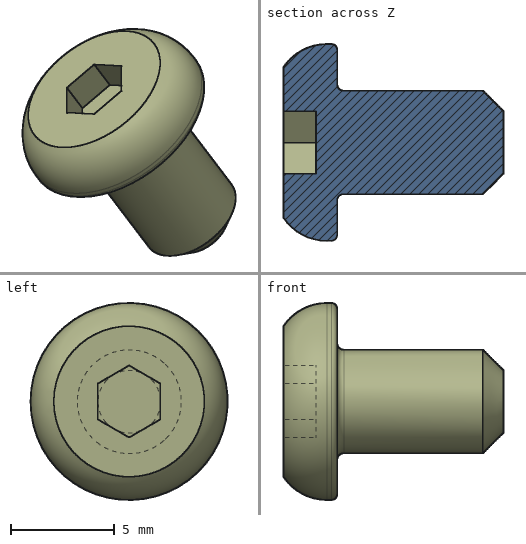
import cadquery as cq
import math

total_length = 10.6
head_diameter = 9.5
head_height = 2.6
face_diameter = 7.25
band_start = 2.1
rim_radius = 0.3
shank_diameter = 5.0
neck_radius = 0.3
tip_chamfer = 1.0
hex_across_flats = 3.0
hex_depth = 1.56

head_radius = head_diameter / 2
face_radius = face_diameter / 2
shank_radius = shank_diameter / 2


def dome_midpoint():
    """Middle of the dome arc, which runs tangent into the cylindrical band."""
    rise = head_radius - face_radius
    dome_radius = (band_start**2 + rise**2) / (2 * rise)
    half_angle = math.asin(band_start / dome_radius) / 2
    x = band_start - dome_radius * math.sin(half_angle)
    r = head_radius - dome_radius * (1 - math.cos(half_angle))
    return x, r


def make_body():
    """Head and shank, revolved from one half profile."""
    diagonal = math.sqrt(0.5)
    rim_x = head_height - rim_radius
    rim_r = head_radius - rim_radius
    neck_x = head_height + neck_radius
    neck_r = shank_radius + neck_radius
    return (
        cq.Workplane("XY")
        .lineTo(0, face_radius)
        .threePointArc(dome_midpoint(), (band_start, head_radius))
        .lineTo(rim_x, head_radius)
        .threePointArc(
            (rim_x + rim_radius * diagonal, rim_r + rim_radius * diagonal),
            (head_height, rim_r),
        )
        .lineTo(head_height, neck_r)
        .threePointArc(
            (neck_x - neck_radius * diagonal, neck_r - neck_radius * diagonal),
            (neck_x, shank_radius),
        )
        .lineTo(total_length - tip_chamfer, shank_radius)
        .lineTo(total_length, shank_radius - tip_chamfer)
        .lineTo(total_length, 0)
        .close()
        .revolve(360, (0, 0, 0), (1, 0, 0))
    )


def make_hex_socket():
    """Hexagonal driver socket with corners pointing along Z."""
    across_corners = hex_across_flats / math.cos(math.pi / 6)
    return (
        cq.Workplane("YZ")
        .transformed(rotate=(0, 0, 90))
        .polygon(6, across_corners)
        .extrude(hex_depth)
    )


result = make_body().cut(make_hex_socket())